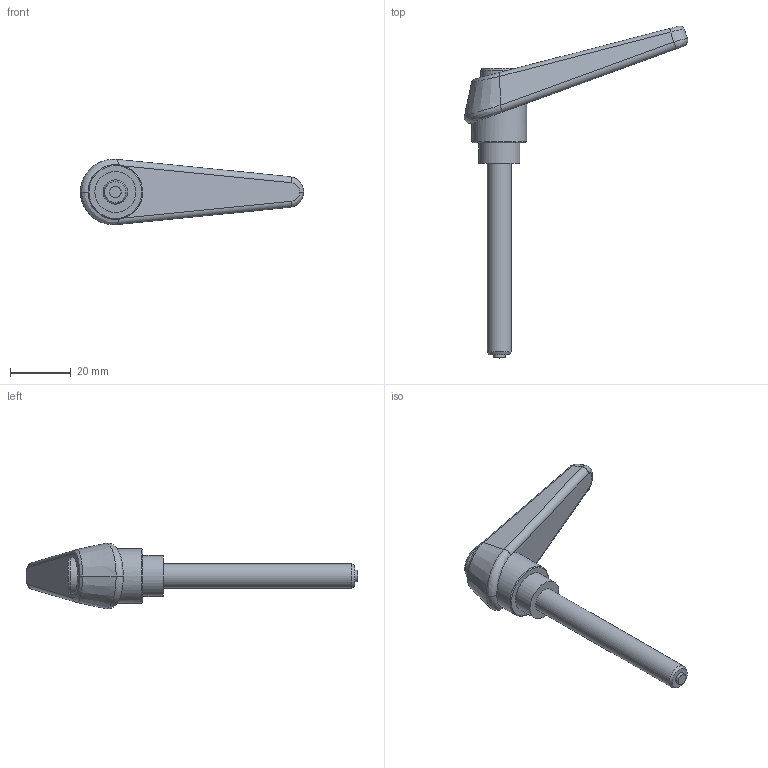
import cadquery as cq
import math


COLLAR_DIAMETER = 13.5
COLLAR_LENGTH = 6.7
STEM_DIAMETER = 8.0
STEM_LENGTH = 63.0
STEM_CHAMFER_LENGTH = 1.0
STEM_CHAMFER_DEPTH = 0.5
PIN_TIP_DIAMETER = 3.8
PIN_TIP_LENGTH = 1.1

HUB_DIAMETER = 18.0
HUB_TOP = 21.0
HUB_CHAMFER = 0.3
BOSS_DIAMETER = 12.2
BOSS_TOP = 31.2
BOSS_CHAMFER_LENGTH = 0.6
BOSS_CHAMFER_DEPTH = 0.2

DRAFT = math.radians(12.0)
SIDE_TAPER = math.radians(1.3)
ROUND_END_RADIUS = 11.28
UNDERSIDE_HEIGHT = 16.45
UNDERSIDE_SLOPE = math.radians(20.0)
TOP_HEIGHT = 29.8
TOP_SLOPE = math.radians(14.55)
TIP_REACH = 61.9
TIP_FACE_HEIGHT = 41.0
TIP_LEAN = math.radians(17.0)
TIP_HALF_WIDTH = 4.3
TIP_CORNER_RADIUS = 5.0
UNDERSIDE_FILLET = 2.0
TOP_FILLET = 1.5

BLANK_BOTTOM = 5.0
BLANK_TOP = 50.0
BLANK_REACH = 80.0
BLANK_HALF_WIDTH = 25.0


def cylinder_along_y(diameter, start, length):
    """Solid cylinder on the stud axis from Y = start to Y = start + length."""
    base = cq.Plane(origin=(0, start, 0), xDir=(-1, 0, 0), normal=(0, 1, 0))
    return cq.Workplane(base).circle(diameter / 2).extrude(length)


def one_sided_blank():
    """Drafted blank whose +Z side is the lever's: quarter cone round the stud axis, then a tangent wall.

    The -Z side is plain stock, which the mirrored blank trims away.
    """
    radius = ROUND_END_RADIUS + (UNDERSIDE_HEIGHT - BLANK_BOTTOM) * math.tan(DRAFT)
    tangent_x = radius * math.sin(SIDE_TAPER)
    tangent_z = radius * math.cos(SIDE_TAPER)
    end_z = tangent_z - (BLANK_REACH - tangent_x) * math.tan(SIDE_TAPER)
    mid_arc = (math.pi / 2 + SIDE_TAPER) / 2
    return (
        cq.Workplane("XZ", origin=(0, BLANK_BOTTOM, 0))
        .moveTo(-radius, 0)
        .threePointArc((-radius * math.cos(mid_arc), radius * math.sin(mid_arc)), (tangent_x, tangent_z))
        .lineTo(BLANK_REACH, end_z)
        .lineTo(BLANK_REACH, -BLANK_HALF_WIDTH)
        .lineTo(-radius, -BLANK_HALF_WIDTH)
        .close()
        .extrude(BLANK_BOTTOM - BLANK_TOP, taper=math.degrees(DRAFT))
    )


def end_face_point(height_on_axis, slope):
    """Where a sloping line, given by its height on the stud axis, meets the leaning end face."""
    lean = math.tan(TIP_LEAN)
    x = (TIP_REACH + lean * (TIP_FACE_HEIGHT - height_on_axis)) / (1 + lean * slope)
    return (x, height_on_axis + slope * x)


def lever_profile():
    """Side outline of the lever, bounded by its underside, end face and top, as a wide prism along Z."""
    under_slope = math.tan(UNDERSIDE_SLOPE)
    top_slope = math.tan(TOP_SLOPE)
    return (
        cq.Workplane("XY")
        .moveTo(-BLANK_HALF_WIDTH, UNDERSIDE_HEIGHT - under_slope * BLANK_HALF_WIDTH)
        .lineTo(*end_face_point(UNDERSIDE_HEIGHT, under_slope))
        .lineTo(*end_face_point(TOP_HEIGHT, top_slope))
        .lineTo(-BLANK_HALF_WIDTH, TOP_HEIGHT - top_slope * BLANK_HALF_WIDTH)
        .close()
        .extrude(2 * BLANK_HALF_WIDTH, both=True)
    )


def rim_edges(half, normal):
    """Outermost +Z edge of the flat face with the given outward normal; its tangent neighbours follow it."""
    return half.faces(cq.DirectionMinMaxSelector(cq.Vector(*normal), True)).edges(">Z")


def make_lever():
    """Tapered lever with a rounded tip and filleted top and bottom rims."""
    half = one_sided_blank().intersect(lever_profile())
    tip_corner = cq.selectors.NearestToPointSelector((TIP_REACH, TIP_FACE_HEIGHT, TIP_HALF_WIDTH))
    half = half.edges(tip_corner).fillet(TIP_CORNER_RADIUS)
    under_normal = (math.sin(UNDERSIDE_SLOPE), -math.cos(UNDERSIDE_SLOPE), 0)
    top_normal = (-math.sin(TOP_SLOPE), math.cos(TOP_SLOPE), 0)
    half = rim_edges(half, under_normal).fillet(UNDERSIDE_FILLET)
    half = rim_edges(half, top_normal).fillet(TOP_FILLET)
    return half.intersect(half.mirror("XY"))


def make_hub():
    """Round hub, from above the collar up into the lever."""
    hub = cylinder_along_y(HUB_DIAMETER, COLLAR_LENGTH, HUB_TOP - COLLAR_LENGTH)
    return hub.faces("<Y").chamfer(HUB_CHAMFER)


def make_boss():
    """Round cap boss, from inside the lever up to its flat top."""
    boss = cylinder_along_y(BOSS_DIAMETER, HUB_TOP, BOSS_TOP - HUB_TOP)
    return boss.faces(">Y").chamfer(BOSS_CHAMFER_LENGTH, BOSS_CHAMFER_DEPTH)


def make_handle():
    """Lever, hub and boss as one solid."""
    return make_lever().union(make_hub()).union(make_boss())


def make_stud():
    """Collar, chamfered stem and pin tip as one solid."""
    collar = cylinder_along_y(COLLAR_DIAMETER, 0, COLLAR_LENGTH)
    stem = cylinder_along_y(STEM_DIAMETER, -STEM_LENGTH, STEM_LENGTH)
    stem = stem.faces("<Y").chamfer(STEM_CHAMFER_LENGTH, STEM_CHAMFER_DEPTH)
    pin_tip = cylinder_along_y(PIN_TIP_DIAMETER, -STEM_LENGTH - PIN_TIP_LENGTH, PIN_TIP_LENGTH)
    return collar.union(stem).union(pin_tip)


handle = make_handle().solids()
stud = make_stud().solids()
result = cq.Compound.makeCompound([handle.val(), stud.val()])